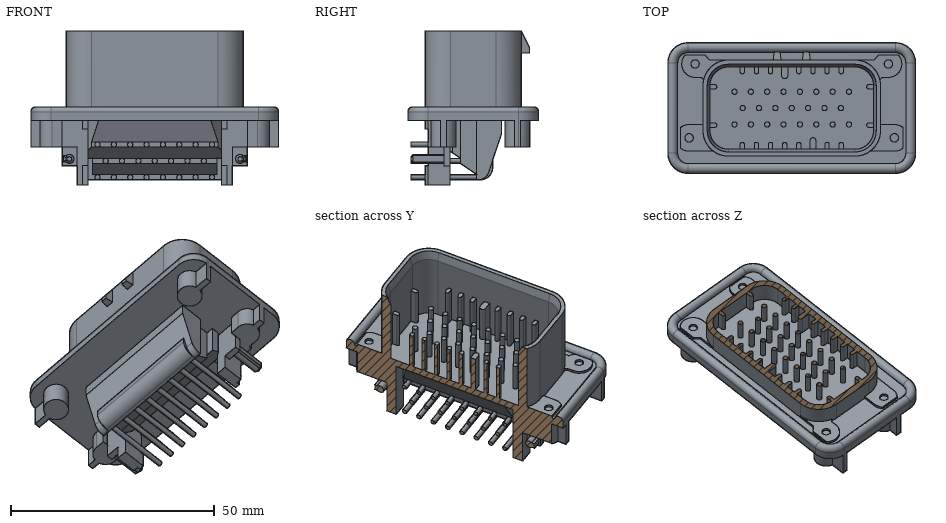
import cadquery as cq
import math


total_height = 37.8

flange_x = 60.8
flange_y = 32.1
flange_top = 3.4
flange_corner = 5.0
rim_radius = 1.2
rim_width = 2 * rim_radius
floor_z = flange_top - rim_radius

shroud_x = 43.55
shroud_y = 23.6
shroud_corner = 6.25
shroud_top = 22.0
shroud_wall = 1.7
lead_in_width = 0.65
lead_in_depth = 2.2
cavity_x = shroud_x - 2 * shroud_wall
cavity_y = shroud_y - 2 * shroud_wall
cavity_corner = shroud_corner - shroud_wall

latch_offset = 3.6
latch_reach = 2.0
latch_height = 5.4
latch_nose = 1.4
latch_root_width = 1.95
latch_tip_width = 1.45
latch_overlap = 0.4

rib_pitch = 3.45
rib_count = 8
rib_width = 1.05
rib_length = 1.7
rib_overlap = 0.85
rib_top = 12.15
long_rib_length = 2.85
long_rib_back = 3
long_rib_back_width = 1.6
long_rib_front = 5
long_rib_front_width = 1.4
side_rib_y_back = 5.2
side_rib_y_front = -4.2

pin_radius = 0.64
pin_pitch = 4.0
pin_counts = (8, 7, 8)
pin_top = 9.6
pin_tip_y = -15.3
first_pin_z = -5.85

boss_radius = 3.05
boss_height = 6.45
back_boss = (23.7, 10.8)
front_boss = (25.2, -7.3)
boss_hole_radius = 1.05
boss_hole_depth = 0.6
boss_rib_thickness = 1.45
pad_radius = 3.3
pad_height = 0.6
back_pad_limit_y = 13.1
front_pad_limit_x = 27.3
back_pad_shoulder_x = 21.35
back_pad_neck_x = 20.2
back_pad_inner_x = 22.2
pad_flare = 0.65

block_half_x = 15.25
cheek_half_x = 17.15
taper_half_x = 13.8
taper_slope = 0.8
block_back_y = 6.95
block_back_drop = 3.3
block_back_foot_y = 3.15
block_back_fillet = 2.75
bend_cover_back_y = 4.8
bend_cover_height = 4.75
bend_cover_radius = 3.05
first_step_y = -7.2
nose_y = -9.3
step_places = [
    (first_step_y + row * pin_pitch, first_pin_z - row * pin_pitch) for row in range(len(pin_counts))
]
block_bottom_z = step_places[-1][1] - pin_radius

post_inner_x = 16.35
post_outer_x = 19.0
post_wide_x = 22.75
post_back_y = -5.65
post_front_y = -11.05
post_foot_z = shroud_top - total_height
tab_front_y = -7.2
tab_foot_z = -11.05
stop_width = 1.35
stop_front_y = -shroud_y / 2
stop_top_height = 2.05
stop_bottom_height = 4.8
peg_x = 20.9
peg_z = -9.35
peg_radius = 1.1
peg_rib_x = 22.4
peg_rib_half_height = 0.8
peg_chamfer = 0.55


def box(x0, x1, y0, y1, z0, z1):
    """Box between two opposite corners."""
    return cq.Workplane("XY").box(x1 - x0, y1 - y0, z1 - z0, centered=False).translate((x0, y0, z0))


def rounded_block(x, y, corner, z0, z1):
    """Centred rounded rectangle raised from z0 to z1."""
    return cq.Workplane("XY", origin=(0, 0, z0)).rect(x, y).extrude(z1 - z0).edges("|Z").fillet(corner)


def both_sides(shape):
    """The shape together with its mirror image across the YZ plane."""
    return shape.union(shape.mirror("YZ"))


def make_flange():
    """Flat plate with a half-round rim along its edge."""
    plate = rounded_block(flange_x, flange_y, flange_corner, 0, floor_z)
    path = (
        cq.Workplane("XY", origin=(0, 0, floor_z))
        .rect(flange_x - rim_width, flange_y - rim_width)
        .extrude(0.6)
        .edges("|Z")
        .fillet(flange_corner - rim_radius)
        .faces("<Z")
        .wires()
        .val()
    )
    half_round = (
        cq.Workplane("YZ", origin=(0, -(flange_y - rim_width) / 2, floor_z))
        .moveTo(-rim_radius, 0)
        .threePointArc((0, rim_radius), (rim_radius, 0))
        .close()
    )
    return plate.union(half_round.sweep(cq.Workplane(path), transition="right"))


def make_pads():
    """Raised pads around the fastening holes, running into the shroud."""
    base = cq.Workplane("XY", origin=(0, 0, floor_z))
    wall_y = shroud_y / 2
    inner_x = shroud_x / 2 - shroud_corner

    bx, by = back_boss
    back_neck = (
        base.polyline([
            (bx, back_pad_limit_y),
            (back_pad_shoulder_x, back_pad_limit_y),
            (back_pad_neck_x, wall_y),
            (inner_x, wall_y),
            (inner_x, wall_y - shroud_corner),
            (back_pad_inner_x - pad_flare, by - pad_radius - pad_flare),
            (back_pad_inner_x, by - pad_radius),
            (bx, by - pad_radius),
        ])
        .close()
        .extrude(pad_height)
    )
    back_disc = base.center(bx, by).circle(pad_radius).extrude(pad_height)
    back = back_disc.union(back_neck).intersect(
        box(0, flange_x, -flange_y, back_pad_limit_y, 0, shroud_top)
    )

    fx, fy = front_boss
    front_disc = base.center(fx, fy).circle(pad_radius).extrude(pad_height)
    front_neck = box(inner_x, fx, fy - pad_radius, fy + pad_radius, floor_z, floor_z + pad_height)
    front = front_disc.union(front_neck).intersect(
        box(0, front_pad_limit_x, -flange_y, flange_y, 0, shroud_top)
    )
    return both_sides(back.union(front))


def make_bosses():
    """Round bosses under the flange, each with a rib reaching the flange edge."""
    fx, fy = front_boss
    half_rib = boss_rib_thickness / 2
    bosses = (
        cq.Workplane("XY")
        .pushPoints([back_boss, front_boss])
        .circle(boss_radius)
        .extrude(-boss_height)
    )
    for x, y in (back_boss, front_boss):
        bosses = bosses.union(box(x, flange_x / 2, y - half_rib, y + half_rib, -boss_height, 0))
    bridge = box(post_wide_x, fx, fy - boss_radius, fy + boss_radius, -boss_height, 0)
    flange_outline = rounded_block(flange_x, flange_y, flange_corner, -boss_height, 0)
    return both_sides(bosses.union(bridge)).intersect(flange_outline)


def make_boss_holes():
    """Shallow blind holes in the pads."""
    pad_top = floor_z + pad_height
    return both_sides(
        cq.Workplane("XY", origin=(0, 0, pad_top))
        .pushPoints([back_boss, front_boss])
        .circle(boss_hole_radius)
        .extrude(-boss_hole_depth)
    )


def make_terminal_block():
    """Stepped block that carries one pin row on each step."""
    outline = [(block_back_y, 0), (nose_y, 0)]
    for y, z in step_places:
        outline += [(y, z + pin_radius), (y, z - pin_radius)]
    outline += [(block_back_foot_y, block_bottom_z), (block_back_y, -block_back_drop)]
    block = (
        cq.Workplane("YZ", origin=(-cheek_half_x, 0, 0))
        .polyline(outline)
        .close()
        .extrude(2 * cheek_half_x)
        .faces("<Z")
        .edges(">Y")
        .fillet(block_back_fillet)
    )
    middle_y = step_places[1][0]
    back_y = step_places[2][0]
    side_notch = box(block_half_x, cheek_half_x, middle_y, back_y, block_bottom_z, 0)
    taper_run = (cheek_half_x - taper_half_x) / taper_slope
    side_taper = (
        cq.Workplane("XY")
        .polyline([
            (taper_half_x, nose_y),
            (cheek_half_x, nose_y),
            (cheek_half_x, nose_y + taper_run),
        ])
        .close()
        .extrude(block_bottom_z)
    )
    bend_cover = (
        box(
            -block_half_x,
            block_half_x,
            back_y,
            bend_cover_back_y,
            block_bottom_z,
            block_bottom_z + bend_cover_height,
        )
        .faces("<Z")
        .edges(">Y")
        .fillet(bend_cover_radius)
    )
    return block.cut(both_sides(side_notch)).cut(both_sides(side_taper)).union(bend_cover)


def make_posts():
    """Board posts with their stops, side tabs and snap pegs."""
    wide = box(post_inner_x, post_wide_x, post_front_y, post_back_y, -boss_height, 0)
    leg = box(post_inner_x, post_outer_x, post_front_y, post_back_y, post_foot_z, 0)
    tab = box(post_outer_x, post_wide_x, tab_front_y, post_back_y, tab_foot_z, 0)
    post = wide.union(leg).union(tab)
    stop_x = post_inner_x + stop_width
    for z0, z1 in ((-stop_top_height, 0), (post_foot_z, post_foot_z + stop_bottom_height)):
        post = post.union(box(post_inner_x, stop_x, stop_front_y, post_front_y, z0, z1))
    peg = (
        cq.Workplane("XZ", origin=(peg_x, tab_front_y, peg_z))
        .circle(peg_radius)
        .extrude(tab_front_y - pin_tip_y)
        .faces("<Y")
        .chamfer(peg_chamfer)
    )
    rib_bottom = peg_z - peg_rib_half_height
    rib_top_z = peg_z + peg_rib_half_height
    peg_rib = (
        box(peg_x, peg_rib_x, pin_tip_y, tab_front_y, rib_bottom, rib_top_z)
        .edges("<Y and (>X or >Z or <Z)")
        .chamfer(peg_chamfer)
    )
    return both_sides(post.union(peg).union(peg_rib))


def make_rib(x, y, direction, length, width):
    """Round-nosed rib that starts in a wall at (x, y) and points along direction, in degrees."""
    straight = length - width / 2
    shape = (
        cq.Workplane("XY", origin=(0, 0, floor_z))
        .moveTo(-rib_overlap, -width / 2)
        .lineTo(straight, -width / 2)
        .threePointArc((length, 0), (straight, width / 2))
        .lineTo(-rib_overlap, width / 2)
        .close()
        .extrude(rib_top - floor_z)
    )
    return shape.rotate((0, 0, 0), (0, 0, 1), direction).translate((x, y, 0))


def make_shroud_ribs():
    """Keying ribs standing on the inside walls, with one long rib on each long wall."""
    short_rib = (rib_length, rib_width)
    ribs = cq.Workplane("XY")
    for i in range(rib_count):
        x = (i - (rib_count - 1) / 2) * rib_pitch
        back_size = (long_rib_length, long_rib_back_width) if i == long_rib_back else short_rib
        front_size = (long_rib_length, long_rib_front_width) if i == long_rib_front else short_rib
        ribs = ribs.union(make_rib(x, cavity_y / 2, -90, *back_size))
        ribs = ribs.union(make_rib(x, -cavity_y / 2, 90, *front_size))
    for y in (side_rib_y_back, side_rib_y_front):
        ribs = ribs.union(make_rib(cavity_x / 2, y, 180, *short_rib))
        ribs = ribs.union(make_rib(-cavity_x / 2, y, 0, *short_rib))
    return ribs


def make_pins():
    """Three rows of contacts: uprights in the shroud and tails leaving the block steps."""
    pins = cq.Workplane("XY")
    for row, count in enumerate(pin_counts):
        upright_y = (row - 1) * pin_pitch
        step_y, tail_z = step_places[row]
        tail_start_y = step_y + pin_radius
        xs = [(i - (count - 1) / 2) * pin_pitch for i in range(count)]
        uprights = (
            cq.Workplane("XY")
            .pushPoints([(x, upright_y) for x in xs])
            .circle(pin_radius)
            .extrude(pin_top)
        )
        tails = (
            cq.Workplane("XZ", origin=(0, tail_start_y, tail_z))
            .pushPoints([(x, 0) for x in xs])
            .circle(pin_radius)
            .extrude(tail_start_y - pin_tip_y)
        )
        pins = pins.union(uprights).union(tails)
    return pins


def make_latches():
    """Pair of wedges on the back wall, narrowing toward their tips."""
    root_y = shroud_y / 2
    tip_y = root_y + latch_reach
    latch_bottom = shroud_top - latch_height
    half_root = latch_root_width / 2
    half_tip = latch_tip_width / 2
    profile = (
        cq.Workplane("YZ", origin=(-half_root, 0, 0))
        .polyline([
            (root_y - latch_overlap, shroud_top),
            (root_y, shroud_top),
            (tip_y, latch_bottom + latch_nose),
            (tip_y, latch_bottom),
            (root_y - latch_overlap, latch_bottom),
        ])
        .close()
        .extrude(latch_root_width)
    )
    plan = (
        cq.Workplane("XY")
        .polyline([
            (-half_root, 0),
            (-half_root, root_y),
            (-half_tip, tip_y),
            (half_tip, tip_y),
            (half_root, root_y),
            (half_root, 0),
        ])
        .close()
        .extrude(shroud_top)
    )
    return both_sides(profile.intersect(plan).translate((latch_offset, 0, 0)))


def make_cavity():
    """Space inside the shroud, widening toward the mouth."""
    cavity = rounded_block(cavity_x, cavity_y, cavity_corner, floor_z, shroud_top)
    lead_in_angle = math.degrees(math.atan2(lead_in_width, lead_in_depth))
    lead_in = (
        cq.Workplane("XY", origin=(0, 0, shroud_top - lead_in_depth))
        .sketch()
        .rect(cavity_x, cavity_y)
        .vertices()
        .fillet(cavity_corner)
        .finalize()
        .extrude(lead_in_depth, taper=-lead_in_angle)
    )
    return cavity.union(lead_in)


shroud = rounded_block(shroud_x, shroud_y, shroud_corner, 0, shroud_top).union(make_latches())

result = (
    make_flange()
    .union(make_pads())
    .union(make_bosses())
    .union(make_posts())
    .cut(make_boss_holes())
    .union(make_terminal_block())
    .union(shroud)
    .cut(make_cavity())
    .union(make_shroud_ribs())
    .union(make_pins())
)